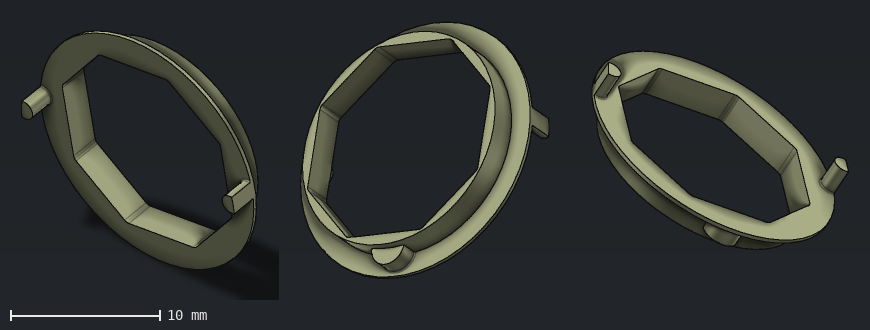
import cadquery as cq
import math

flange_diameter = 18.5
flange_thickness = 0.3
collar_diameter = 15.5
collar_length = 2.0

opening_flat_pairs = 4
opening_narrow_width = 13.9
opening_wide_width = 14.1
opening_tilt = 10
opening_corner_radius = 0.5

pin_root_fillet = 0.1
front_pin_diameter = 1.45
front_pin_length = 2.0
front_pin_circle_radius = 9.0
front_pin_angles = (10, 180)
back_pin_diameter = 2.6
back_pin_length = 1.33
back_pin_circle_radius = 7.62
back_pin_angle = -80


def cylinder_along_y(diameter, y_start, y_end):
    """Solid cylinder running from y_start to the larger y_end."""
    return (
        cq.Workplane("XZ", origin=(0, y_start, 0))
        .circle(diameter / 2)
        .extrude(y_start - y_end)
    )


def pin(diameter, circle_radius, angle, root_y, tip_y):
    """Pin standing on the flange face at root_y, flared by a fillet at its root."""
    x = circle_radius * math.cos(math.radians(angle))
    z = circle_radius * math.sin(math.radians(angle))
    direction = math.copysign(1, tip_y - root_y)
    radius = diameter / 2
    root_radius = radius + pin_root_fillet
    fillet_end_y = root_y + direction * pin_root_fillet
    arc_inset = pin_root_fillet * (1 - math.sqrt(0.5))
    profile = (
        cq.Workplane("XY")
        .moveTo(0, root_y)
        .lineTo(root_radius, root_y)
        .threePointArc((radius + arc_inset, root_y + direction * arc_inset), (radius, fillet_end_y))
        .lineTo(radius, tip_y)
        .lineTo(0, tip_y)
        .close()
    )
    return profile.revolve(360, (0, 0), (0, 1)).translate((x, 0, z))


def square_prism(width, tilt):
    """Square prism through flange and collar, turned by tilt degrees."""
    return (
        cq.Workplane("XZ", origin=(0, collar_length, 0))
        .transformed(rotate=(0, 0, tilt))
        .rect(width, width)
        .extrude(collar_length + flange_thickness)
    )


def octagonal_opening():
    """Octagonal prism with rounded corners, the overlap of two turned squares."""
    narrow_square = square_prism(opening_narrow_width, opening_tilt)
    wide_square = square_prism(opening_wide_width, opening_tilt + 180 / opening_flat_pairs)
    return narrow_square.intersect(wide_square).edges("|Y").fillet(opening_corner_radius)


flange = cylinder_along_y(flange_diameter, -flange_thickness, 0)
collar = cylinder_along_y(collar_diameter, 0, collar_length)
ring = flange.union(collar)

front_tip_y = -flange_thickness - front_pin_length
rim_envelope = cylinder_along_y(flange_diameter, front_tip_y, 0)
for angle in front_pin_angles:
    front_pin = pin(front_pin_diameter, front_pin_circle_radius, angle, -flange_thickness, front_tip_y)
    ring = ring.union(front_pin.intersect(rim_envelope))

back_pin = pin(back_pin_diameter, back_pin_circle_radius, back_pin_angle, 0, back_pin_length)
ring = ring.union(back_pin)

result = ring.cut(octagonal_opening())